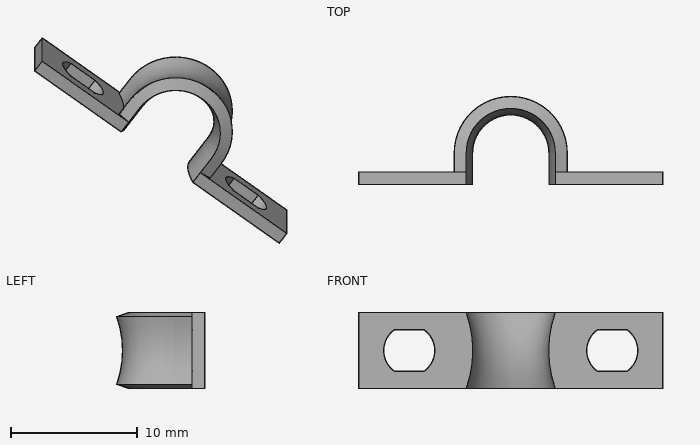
import cadquery as cq
import math

length = 24.0
height = 6.0
thickness = 1.0
waist_radius = 3.0
flare_radius = 9.0
bend_center_y = 2.5
hole_diameter = 4.0
hole_flats = 3.25
hole_spacing = 16.0

half_height = height / 2
bow_center = waist_radius + flare_radius
bow_angle = math.asin(half_height / flare_radius)


def bow_point(radius, angle):
    """Point (x, z) on a bow around the section's flare center."""
    return bow_center - radius * math.cos(angle), radius * math.sin(angle)


def band_section(workplane):
    """Closed band section on the +X side, its bows split at mid height."""
    inner = flare_radius
    outer = flare_radius - thickness
    half = bow_angle / 2
    return (
        workplane.moveTo(*bow_point(inner, -bow_angle))
        .threePointArc(bow_point(inner, -half), bow_point(inner, 0))
        .threePointArc(bow_point(inner, half), bow_point(inner, bow_angle))
        .lineTo(*bow_point(outer, bow_angle))
        .threePointArc(bow_point(outer, half), bow_point(outer, 0))
        .threePointArc(bow_point(outer, -half), bow_point(outer, -bow_angle))
        .close()
    )


def bend_plane():
    """XZ plane through the bend axis, facing the flange front."""
    return cq.Workplane("XZ", origin=(0, bend_center_y, 0))


def make_bend():
    """Half turn of the band around the vertical bend axis."""
    return band_section(bend_plane()).revolve(180, (0, 0), (0, 1))


def make_leg():
    """Straight run of the band from the bend to the flange front."""
    return band_section(bend_plane()).extrude(bend_center_y)


def make_flange():
    """Flange on the +X side, trimmed to the inner bow, with its hole."""
    inner_edge = bow_point(flare_radius, bow_angle)[0]
    plate = (
        cq.Workplane("XZ")
        .moveTo(inner_edge, -half_height)
        .threePointArc((waist_radius, 0), (inner_edge, half_height))
        .lineTo(length / 2, half_height)
        .lineTo(length / 2, -half_height)
        .close()
        .extrude(-thickness)
    )
    hole_plane = cq.Workplane("XZ").center(hole_spacing / 2, 0)
    round_hole = hole_plane.circle(hole_diameter / 2).extrude(-thickness)
    flat_band = hole_plane.rect(hole_diameter, hole_flats).extrude(-thickness)
    return plate.cut(round_hole.intersect(flat_band))


side = make_leg().union(make_flange())
result = make_bend().union(side).union(side.mirror("YZ"))